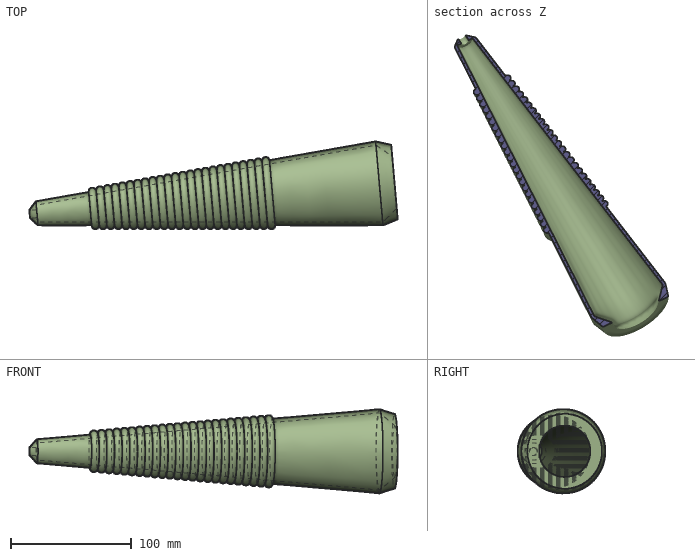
import cadquery as cq
import math

TAPER_ANGLE = 5.0
LARGE_DIAMETER = 70.0
SMALL_DIAMETER = 20.2
BORE_DIAMETER = 6.6
TIP_LENGTH = 6.2
END_DIAMETER = 62.0
END_LENGTH = 12.7

RIB_COUNT = 24
RIB_RADIUS = 3.1
RIB_PITCH = 6.34
FIRST_RIB_DISTANCE = 47.5

WALL = 3.0
LIP_ANGLE = 40.0

taper = math.radians(TAPER_ANGLE)
cone_length = (LARGE_DIAMETER - SMALL_DIAMETER) / 2 / math.tan(taper)
cone_end = TIP_LENGTH + cone_length
total_length = cone_end + END_LENGTH

cavity_small_radius = SMALL_DIAMETER / 2 - WALL
cavity_large_radius = LARGE_DIAMETER / 2 - WALL
opening_radius = cavity_large_radius - END_LENGTH * math.tan(math.radians(LIP_ANGLE))


def cone_point(distance, height=0.0):
    """Profile point at a distance along the cone side and a height above it."""
    axial = TIP_LENGTH + distance * math.cos(taper) - height * math.sin(taper)
    radial = SMALL_DIAMETER / 2 + distance * math.sin(taper) + height * math.cos(taper)
    return axial, radial


def add_rib(profile, centre):
    """Continue the profile along the cone side and over one half-round rib."""
    profile = profile.lineTo(*cone_point(centre - RIB_RADIUS))
    return profile.threePointArc(
        cone_point(centre, RIB_RADIUS),
        cone_point(centre + RIB_RADIUS),
    )


def outer_body():
    """Solid ribbed cone with a bevel at each end, its axis along X."""
    profile = cq.Workplane("XY").lineTo(0, BORE_DIAMETER / 2)
    profile = profile.lineTo(*cone_point(0))
    for rib in range(RIB_COUNT):
        profile = add_rib(profile, FIRST_RIB_DISTANCE + rib * RIB_PITCH)
    profile = profile.lineTo(cone_end, LARGE_DIAMETER / 2)
    profile = profile.lineTo(total_length, END_DIAMETER / 2)
    profile = profile.lineTo(total_length, 0).close()
    return profile.revolve(360, (0, 0, 0), (1, 0, 0))


def inner_space():
    """Tip bore, tapered cavity and the narrowing opening at the large end."""
    profile = (
        cq.Workplane("XY")
        .lineTo(0, BORE_DIAMETER / 2)
        .lineTo(TIP_LENGTH, BORE_DIAMETER / 2)
        .lineTo(TIP_LENGTH, cavity_small_radius)
        .lineTo(cone_end, cavity_large_radius)
        .lineTo(total_length, opening_radius)
        .lineTo(total_length, 0)
        .close()
    )
    return profile.revolve(360, (0, 0, 0), (1, 0, 0))


sleeve = outer_body().cut(inner_space())
result = sleeve.rotate((0, 0, 0), (0, 0, 1), TAPER_ANGLE)